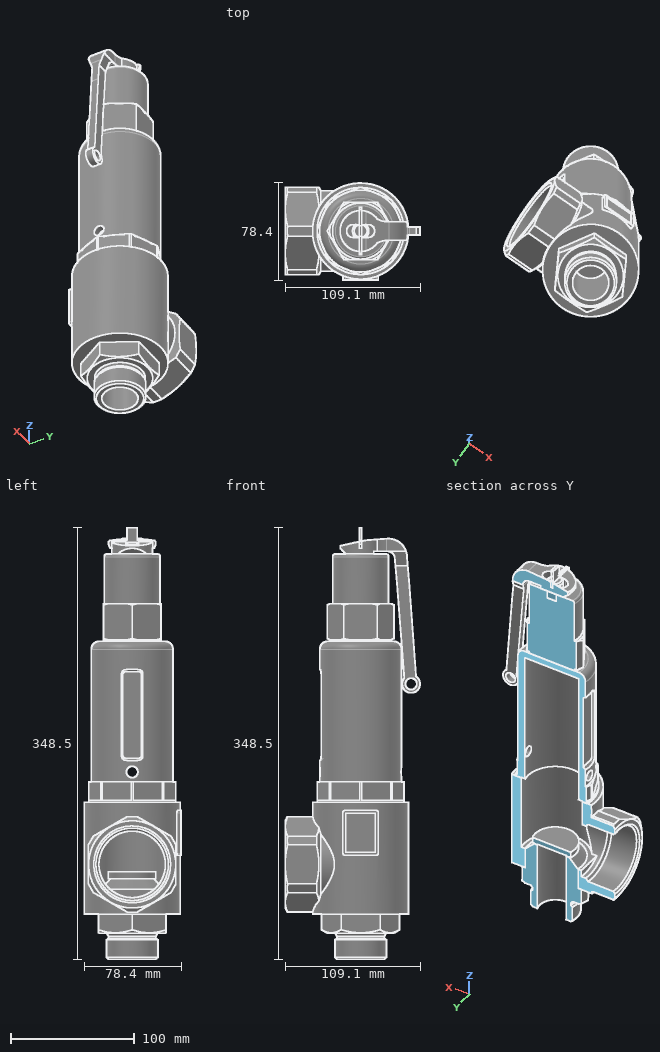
import cadquery as cq
import math


thread_radius = 21.0
thread_top = 15.7
thread_chamfer = 1.7
relief_radius = 19.0
relief_bottom = 17.0
relief_top = 18.5
relief_root_radius = 20.5
hex_bottom = 21.0
inlet_hex_flats = 54.7
inlet_hex_chamfer_radius = 26.5
inlet_bore_radius = 14.5
nozzle_root_radius = 25.8
nozzle_tip_radius = 17.5
seat_height = 65.2

disc_radius = 19.0
disc_thickness = 5.5

body_diameter = 77.7
body_radius = body_diameter / 2
body_bottom = 36.5
body_top = 127.0
chamber_radius = 29.5
chamber_floor = 56.5

outlet_height = 76.7
outlet_face = 61.0
outlet_hex_length = 29.0
outlet_hex_back = outlet_face - outlet_hex_length
outlet_hex_flats = 70.8
outlet_corner_flats = 77.0
outlet_face_radius = 35.2
outlet_neck_diameter = 65.2
outlet_neck_radius = outlet_neck_diameter / 2
outlet_thread_radius = 29.3
outlet_thread_depth = 25.8
outlet_mouth_chamfer = 1.7
outlet_bore_radius = 27.0
outlet_bore_end = 28.5

plate_width = 28.5
plate_height = 36.3
plate_center_height = 102.0
plate_rise = 0.7
plate_face_offset = body_radius + plate_rise
plate_corner_radius = 1.7
rim_width = 2.5
rim_height = 0.7

octagon_bottom = 128.5
octagon_top = 143.3
octagon_corner_radius = 35.5
octagon_turned_radius = 35.2
bonnet_radius = 33.0
bonnet_top = 257.0
bonnet_edge_radius = 6.5
bonnet_wall = 7.0
vent_radius = 4.5
vent_height = 151.3
window_width = 19.0
window_height = 74.0
window_center_height = 197.3
window_slope = 2.0
window_floor = 30.5
window_corner_radius = 4.2

cap_hex_flats = 46.7
cap_hex_bottom = 258.0
cap_hex_top = 287.3
cap_hex_chamfer = 1.0
cap_radius = 22.5
cap_top = 327.5
cap_edge_radius = 2.0

spindle_radius = 6.5
spindle_flats = 10.5
spindle_depth = 7.0
spindle_top = 336.8
spindle_chamfer = 1.5

key_thickness = 2.0
key_length = 38.5
key_bottom = 332.0
key_shoulder = 338.5
key_tab_width = 8.5
key_top = 348.5
key_upper_corner = 1.5
key_lower_corner = 3.0
key_end_slope = 1.5

head_diameter = 33.0
head_radius = head_diameter / 2
head_tip_bottom = 332.0
head_tip_top = 334.0
head_foot_start = -12.0
head_foot_end = 10.8
head_ridge_x = 4.2
head_ridge_height = 338.5
neck_start = 7.0
neck_middle = 13.2
neck_middle_half = 9.8
neck_end = 20.5
arm_width = 15.0
arm_end = 52.3
slot_length = 22.5
slot_width = spindle_flats
arm_underside = 329.5
taper_top = arm_underside
taper_bottom = 318.0
inner_bend_start = (21.5, arm_underside)
inner_bend_middle = (25.8, 327.7)
inner_bend_end = (27.5, 323.0)
outer_bend_start = (22.5, 340.0)
outer_bend_middle = (33.0, 335.5)
outer_bend_end = (37.5, 323.5)
kink_height = 303.3
kink_inner_x = 29.3
kink_outer_x = 39.5
handle_width = 6.5
handle_end_inner_x = 35.5
handle_end_outer_x = 45.3
eye_x = 40.8
eye_height = 222.5
eye_radius = 7.3
eye_hole_radius = 4.5

HEX_HALF_ANGLE = math.radians(30)
COS_30 = math.cos(HEX_HALF_ANGLE)
TAN_30 = math.tan(HEX_HALF_ANGLE)


def cylinder(radius, bottom, top):
    return cq.Workplane("XY").workplane(offset=bottom).circle(radius).extrude(top - bottom)


def cylinder_toward_outlet(radius, start, end):
    """Cylinder on the outlet axis between two distances from the valve axis."""
    return (
        cq.Workplane("YZ", origin=(-end, 0, outlet_height)).circle(radius).extrude(end - start)
    )


def hexagon(flats, bottom, top):
    """Hexagonal prism on Z with corners on the X axis."""
    corner_diameter = flats / COS_30
    plane = cq.Workplane("XY").workplane(offset=bottom)
    return plane.polygon(6, corner_diameter).extrude(top - bottom)


def revolve_about_z(points):
    """Solid of revolution from (radius, height) points."""
    return cq.Workplane("XZ").polyline(points).close().revolve(360, (0, 0, 0), (0, 1, 0))


def revolve_about_outlet(points):
    """Solid of revolution on the outlet axis from (distance from the valve axis, radius) points."""
    plane = cq.Plane(origin=(0, 0, outlet_height), xDir=(-1, 0, 0), normal=(0, 0, 1))
    return cq.Workplane(plane).polyline(points).close().revolve(360, (0, 0, 0), (1, 0, 0))


def make_nozzle():
    stem = revolve_about_z([
        (0, 0),
        (thread_radius - thread_chamfer, 0),
        (thread_radius, thread_chamfer),
        (thread_radius, thread_top),
        (relief_radius, relief_bottom),
        (relief_radius, relief_top),
        (relief_root_radius, hex_bottom),
        (0, hex_bottom),
    ])
    corner = inlet_hex_flats / 2 / COS_30
    turned_envelope = revolve_about_z([
        (0, hex_bottom),
        (inlet_hex_chamfer_radius, hex_bottom),
        (corner, hex_bottom + (corner - inlet_hex_chamfer_radius) * TAN_30),
        (corner, body_bottom),
        (0, body_bottom),
    ])
    nut = hexagon(inlet_hex_flats, hex_bottom, body_bottom).intersect(turned_envelope)
    tip = revolve_about_z([
        (0, body_bottom),
        (nozzle_root_radius, body_bottom),
        (nozzle_root_radius, chamber_floor),
        (nozzle_tip_radius, seat_height),
        (0, seat_height),
    ])
    bore = cylinder(inlet_bore_radius, 0, seat_height)
    return stem.union(nut).union(tip).cut(bore)


def make_disc():
    return cylinder(disc_radius, seat_height, seat_height + disc_thickness)


def outlet_hex():
    """Hexagon with flattened corners, chamfered conically at both ends."""
    corner_diameter = outlet_hex_flats / COS_30
    trim_diameter = outlet_corner_flats / COS_30
    plane = cq.Workplane("YZ", origin=(-outlet_face, 0, outlet_height))
    flats = plane.transformed(rotate=(0, 0, 90)).polygon(6, corner_diameter)
    prism = flats.extrude(outlet_hex_length)
    corner_trim = plane.polygon(6, trim_diameter).extrude(outlet_hex_length)
    outer_radius = corner_diameter / 2
    face_bevel = (outer_radius - outlet_face_radius) * TAN_30
    back_bevel = (outer_radius - outlet_neck_radius) * TAN_30
    turned_envelope = revolve_about_outlet([
        (outlet_face, 0),
        (outlet_face, outlet_face_radius),
        (outlet_face - face_bevel, outer_radius),
        (outlet_hex_back + back_bevel, outer_radius),
        (outlet_hex_back, outlet_neck_radius),
        (outlet_hex_back, 0),
    ])
    return prism.intersect(corner_trim).intersect(turned_envelope)


def outlet_passage():
    thread_end = outlet_face - outlet_thread_depth
    bore = revolve_about_outlet([
        (outlet_face, 0),
        (outlet_face, outlet_thread_radius + outlet_mouth_chamfer),
        (outlet_face - outlet_mouth_chamfer, outlet_thread_radius),
        (thread_end, outlet_thread_radius),
        (thread_end - outlet_thread_radius + outlet_bore_radius, outlet_bore_radius),
        (outlet_bore_end, outlet_bore_radius),
        (outlet_bore_end, 0),
    ])
    above_floor = cylinder(outlet_face, chamber_floor, body_top)
    opening = cylinder_toward_outlet(outlet_bore_radius, 0, outlet_face).intersect(above_floor)
    return bore.union(opening)


def plate_block(inset, back_offset, front_offset):
    """Upright block between two distances from the valve axis toward -Y."""
    return (
        cq.Workplane("XZ", origin=(0, -back_offset, plate_center_height))
        .rect(plate_width - 2 * inset, plate_height - 2 * inset)
        .extrude(front_offset - back_offset)
    )


def body_plate():
    plate = plate_block(0, (body_radius + chamber_radius) / 2, plate_face_offset)
    return plate.edges("|Y").fillet(plate_corner_radius)


def plate_recess():
    return plate_block(rim_width, plate_face_offset - rim_height, plate_face_offset)


def make_body():
    shell = cylinder(body_radius, body_bottom, body_top)
    neck = cylinder_toward_outlet(outlet_neck_radius, 0, outlet_hex_back)
    chamber = cylinder(chamber_radius, chamber_floor, body_top)
    nozzle_hole = cylinder(nozzle_root_radius, body_bottom, chamber_floor)
    solid = shell.union(neck).union(outlet_hex()).union(body_plate())
    return solid.cut(chamber).cut(nozzle_hole).cut(outlet_passage()).cut(plate_recess())


def bonnet_octagon():
    octagon = (
        cq.Workplane("XY")
        .workplane(offset=octagon_bottom)
        .polygon(8, 2 * octagon_corner_radius)
        .extrude(octagon_top - octagon_bottom)
    )
    return octagon.intersect(cylinder(octagon_turned_radius, octagon_bottom, octagon_top))


def bonnet_window():
    """Sunken flat with sloped edges on the -X side."""
    depth = bonnet_radius - window_floor
    large_face = cq.Plane(
        origin=(-bonnet_radius, 0, window_center_height), xDir=(0, 1, 0), normal=(1, 0, 0)
    )
    outline = cq.Sketch().rect(window_width, window_height).vertices().fillet(window_corner_radius)
    edge_angle = math.degrees(math.atan2(window_slope, depth))
    return cq.Workplane(large_face).placeSketch(outline).extrude(depth, taper=edge_angle)


def make_bonnet():
    sleeve = cylinder(bonnet_radius, octagon_top, bonnet_top)
    sleeve = sleeve.faces(">Z").edges().fillet(bonnet_edge_radius)
    collar = cylinder(octagon_turned_radius, body_top, octagon_bottom)
    cavity = cylinder(bonnet_radius - bonnet_wall, body_top, bonnet_top - bonnet_wall)
    vent = (
        cq.Workplane("YZ", origin=(0, 0, vent_height))
        .circle(vent_radius)
        .extrude(bonnet_radius, both=True)
    )
    return sleeve.union(bonnet_octagon()).union(collar).cut(cavity).cut(vent).cut(bonnet_window())


def make_cap():
    corner = cap_hex_flats / 2 / COS_30
    turned_envelope = cylinder(corner, cap_hex_bottom, cap_hex_top)
    turned_envelope = turned_envelope.faces("<Z or >Z").chamfer(cap_hex_chamfer, 2 * cap_hex_chamfer)
    nut = hexagon(cap_hex_flats, cap_hex_bottom, cap_hex_top).intersect(turned_envelope)
    foot = cylinder(cap_radius, bonnet_top, cap_hex_bottom)
    sleeve = cylinder(cap_radius, cap_hex_top, cap_top)
    sleeve = sleeve.faces(">Z").edges().fillet(cap_edge_radius)
    spindle_hole = cylinder(spindle_radius, cap_top - spindle_depth, cap_top)
    return foot.union(nut).union(sleeve).cut(spindle_hole)


def make_spindle(key):
    """Round end standing in the cap, with two flats where it passes through the lever."""
    root = cylinder(spindle_radius, cap_top - spindle_depth, cap_top)
    tip = cylinder(spindle_radius, cap_top, spindle_top).faces(">Z").chamfer(spindle_chamfer)
    flats = cq.Workplane("XY").box(2 * spindle_radius, spindle_flats, 2 * spindle_top)
    return root.union(tip.intersect(flats)).cut(key)


def make_key():
    end = key_length / 2
    crossbar = (
        cq.Workplane("YZ")
        .polyline([
            (-end + key_end_slope, key_bottom),
            (-end, key_bottom + key_lower_corner),
            (-end, key_shoulder - key_upper_corner),
            (-end + key_end_slope, key_shoulder),
            (end - key_end_slope, key_shoulder),
            (end, key_shoulder - key_upper_corner),
            (end, key_bottom + key_lower_corner),
            (end - key_end_slope, key_bottom),
        ])
        .close()
        .extrude(key_thickness / 2, both=True)
    )
    tab = (
        cq.Workplane("XY")
        .box(key_thickness, key_tab_width, key_top - key_bottom, centered=(True, True, False))
        .translate((0, 0, key_bottom))
    )
    return crossbar.union(tab)


def lever_side_outline():
    """Head, bent arm and straight handle in the XZ plane, as deep as the head is wide."""
    return (
        cq.Workplane("XZ")
        .moveTo(-head_radius, head_tip_bottom)
        .lineTo(head_foot_start, cap_top)
        .lineTo(head_foot_end, cap_top)
        .lineTo(head_foot_end, arm_underside)
        .lineTo(*inner_bend_start)
        .threePointArc(inner_bend_middle, inner_bend_end)
        .lineTo(kink_inner_x, kink_height)
        .lineTo(handle_end_inner_x, eye_height)
        .lineTo(handle_end_outer_x, eye_height)
        .lineTo(kink_outer_x, kink_height)
        .lineTo(*outer_bend_end)
        .threePointArc(outer_bend_middle, outer_bend_start)
        .lineTo(head_ridge_x, head_ridge_height)
        .lineTo(-head_radius, head_tip_top)
        .close()
        .extrude(head_radius, both=True)
    )


def lever_arm_plan():
    """Neck narrowing from the head to the arm in the XY plane, as tall as the whole lever."""
    neck_half = math.sqrt(head_radius**2 - neck_start**2)
    arm_half = arm_width / 2
    return (
        cq.Workplane("XY")
        .moveTo(0, neck_half)
        .lineTo(neck_start, neck_half)
        .threePointArc((neck_middle, neck_middle_half), (neck_end, arm_half))
        .lineTo(arm_end, arm_half)
        .lineTo(arm_end, -arm_half)
        .lineTo(neck_end, -arm_half)
        .threePointArc((neck_middle, -neck_middle_half), (neck_start, -neck_half))
        .lineTo(0, -neck_half)
        .close()
        .extrude(key_top)
    )


def lever_arm_end_outline():
    """Full width at the neck, tapering down to the narrow handle, in the YZ plane."""
    return (
        cq.Workplane("YZ")
        .polyline([
            (-handle_width / 2, 0),
            (-handle_width / 2, taper_bottom),
            (-arm_width / 2, taper_top),
            (-head_radius, taper_top),
            (-head_radius, key_top),
            (head_radius, key_top),
            (head_radius, taper_top),
            (arm_width / 2, taper_top),
            (handle_width / 2, taper_bottom),
            (handle_width / 2, 0),
        ])
        .close()
        .extrude(arm_end, both=True)
    )


def make_lever(key):
    side = lever_side_outline()
    head = side.intersect(cylinder(head_radius, 0, key_top))
    arm = side.intersect(lever_arm_plan()).intersect(lever_arm_end_outline())
    eye_plane = cq.Workplane("XZ", origin=(eye_x, 0, eye_height))
    eye = eye_plane.circle(eye_radius).extrude(handle_width / 2, both=True)
    eye_hole = eye_plane.circle(eye_hole_radius).extrude(handle_width, both=True)
    slot = (
        cq.Workplane("XY")
        .workplane(offset=cap_top)
        .slot2D(slot_length, slot_width)
        .extrude(key_top - cap_top)
    )
    return head.union(arm).union(eye).cut(eye_hole).cut(slot).cut(key)


body = make_body()
nozzle = make_nozzle()
disc = make_disc()
bonnet = make_bonnet()
cap = make_cap()
key = make_key()
spindle = make_spindle(key)
lever = make_lever(key)

result = cq.Compound.makeCompound([
    body.val(),
    nozzle.val(),
    disc.val(),
    bonnet.val(),
    cap.val(),
    spindle.val(),
    key.val(),
    lever.val(),
])